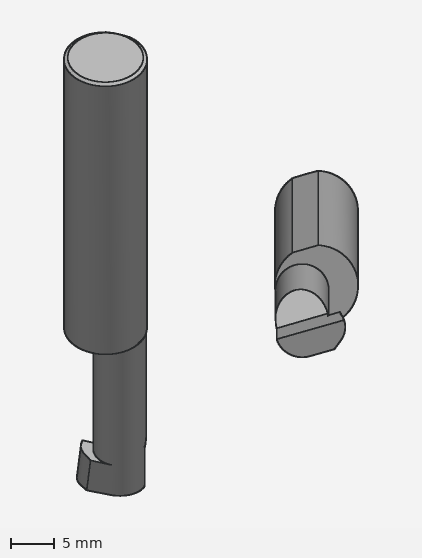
import cadquery as cq
import math

total_length = 63.5
shank_radius = 4.75
shank_bottom = 22.85
flat_y = 4.5
bevel_width = 0.45
bevel_height = 0.25

neck_radius = 3.05
neck_x = shank_radius - neck_radius

rake_end = 6.15
rake_run_out = neck_radius

head_top = 5.1
head_lean = 0.5
tip_x = -2.8
relief_point = (-1.8, -2.2)
heel_x = -0.75

end_rise_angle_x = 2.0
end_rise_angle_y = 6.5

overshoot = 3.2


def make_shank():
    length = total_length - shank_bottom
    body = cq.Workplane("XY").workplane(offset=shank_bottom).circle(shank_radius).extrude(length)
    body = body.faces(">Z").chamfer(bevel_height, bevel_width)
    side = 2 * shank_radius
    keep = (
        cq.Workplane("XY")
        .workplane(offset=shank_bottom)
        .center(0, flat_y - side / 2)
        .rect(2 * side, side)
        .extrude(length)
    )
    return body.intersect(keep)


def make_neck():
    bar = cq.Workplane("XY").center(neck_x, 0).circle(neck_radius).extrude(shank_bottom)
    reach = neck_radius + overshoot
    run_out_slope = rake_run_out / neck_radius
    cutter = (
        cq.Workplane("YZ")
        .polyline([
            (0, -overshoot),
            (reach, -overshoot),
            (reach, rake_end + reach * run_out_slope),
            (0, rake_end),
        ])
        .close()
        .extrude(2 * shank_radius, both=True)
    )
    return bar.cut(cutter)


def draw_head_section(plane, lean):
    """Close a head section whose outer corners are moved by lean towards -X.

    The outer side runs from the flat heel along a straight facet, then along
    an arc tangent to that facet up to the cutting tip.
    """
    relief_x, relief_y = relief_point
    return (
        plane.moveTo(neck_x, 0)
        .lineTo(neck_x, -neck_radius)
        .lineTo(heel_x - lean, -neck_radius)
        .lineTo(relief_x - lean, relief_y)
        .tangentArcPoint((tip_x - lean, 0), relative=False)
        .close()
    )


def make_head():
    bottom = draw_head_section(cq.Workplane("XY"), head_lean)
    top = draw_head_section(bottom.workplane(offset=head_top), 0)
    return top.loft(ruled=True)


def make_end_cutter():
    """Block whose top is the sloping end face through the cutting tip."""
    normal = (
        -math.tan(math.radians(end_rise_angle_x)),
        math.tan(math.radians(end_rise_angle_y)),
        1,
    )
    end_plane = cq.Plane(origin=(tip_x - head_lean, 0, 0), normal=normal)
    size = 4 * total_length
    return cq.Workplane(end_plane).rect(size, size).extrude(-overshoot)


result = make_shank().union(make_neck()).union(make_head()).cut(make_end_cutter())